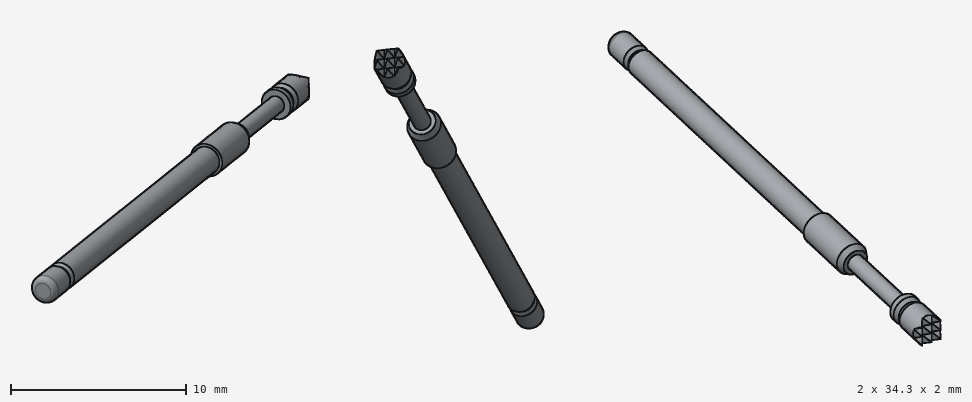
import cadquery as cq

length = 34.3
tip_end = length / 2

head_radius = 0.91
head_length = 3.05
head_groove_start = 2.02
head_groove_width = 0.65
groove_depth = 0.15

shaft_radius = 0.5
collar_radius = 1.0
collar_start = 8.35
collar_end = 12.38
collar_chamfer_length = 0.4
collar_chamfer_depth = 0.2

barrel_radius = 0.82
tail_fillet = 0.35
tail_groove_start = 31.83
tail_groove_width = 0.55

tip_pitch = 0.62
tips_per_side = 3
valley_depth = 0.5
rim_depth = 0.55


def cylinder(radius, start, end):
    """Cylinder about Y between two distances measured back from the tip end."""
    plane = cq.Workplane("XZ", origin=(0, tip_end - start, 0))
    return plane.circle(radius).extrude(end - start)


def v_groove(radius, start, width):
    """Ring with a V section that cuts groove_depth into a cylinder about Y."""
    near = tip_end - start
    far = near - width
    section = [
        (radius, near),
        (radius - groove_depth, (near + far) / 2),
        (radius, far),
    ]
    profile = cq.Workplane("XY").polyline(section).close()
    return profile.revolve(360, (0, 0, 0), (0, 1, 0))


def serration_cutter():
    """Bar along Z whose saw-tooth section leaves a row of ridges across X."""
    outermost_tip = tip_pitch * (tips_per_side - 1) / 2
    section = [(-head_radius, tip_end - rim_depth), (-outermost_tip, tip_end)]
    for index in range(1, tips_per_side):
        tip_x = index * tip_pitch - outermost_tip
        section.append((tip_x - tip_pitch / 2, tip_end - valley_depth))
        section.append((tip_x, tip_end))
    top = tip_end + rim_depth
    section += [(head_radius, tip_end - rim_depth), (head_radius, top), (-head_radius, top)]
    return cq.Workplane("XY").polyline(section).close().extrude(head_radius, both=True)


def head():
    """Grooved head with the grid of points cut by two crossing saw-tooth bars."""
    body = cylinder(head_radius, 0, head_length)
    body = body.cut(v_groove(head_radius, head_groove_start, head_groove_width))
    across_x = serration_cutter()
    across_z = across_x.rotate((0, 0, 0), (0, 1, 0), 90)
    return body.cut(across_x).cut(across_z)


def collar():
    """Wide collar, chamfered on the side that faces the head."""
    body = cylinder(collar_radius, collar_start, collar_end)
    return body.faces(">Y").chamfer(collar_chamfer_length, collar_chamfer_depth)


def barrel():
    """Long barrel with a rounded tail and a groove near it."""
    body = cylinder(barrel_radius, collar_end, length).faces("<Y").edges().fillet(tail_fillet)
    return body.cut(v_groove(barrel_radius, tail_groove_start, tail_groove_width))


shaft = cylinder(shaft_radius, head_length, collar_start)
result = head().union(shaft).union(collar()).union(barrel())